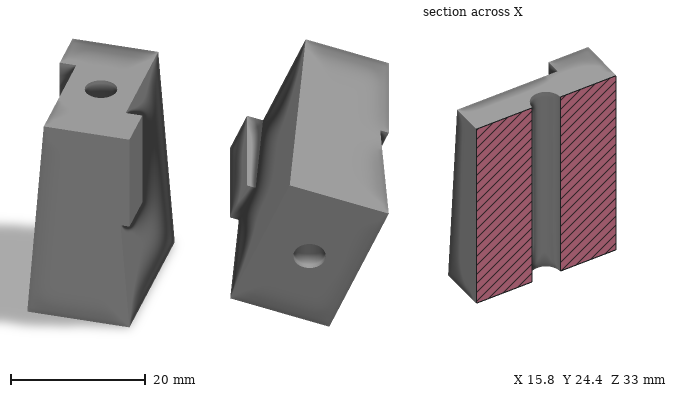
import cadquery as cq

width = 15.75
depth = 24.37
height = 33.02

side_inset = 2.55

lug_length = 6.9
lug_height = 15.3

hole_diameter = 4.82


def tapered_body():
    """Wedge with a trapezoidal section, running the full depth along Y."""
    half_bottom = width / 2
    half_top = half_bottom - side_inset
    return (
        cq.Workplane("XZ")
        .polyline([
            (-half_bottom, 0),
            (half_bottom, 0),
            (half_top, height),
            (-half_top, height),
        ])
        .close()
        .extrude(depth / 2, both=True)
    )


def corner_lug(side):
    """Upright lug: side -1 is the -X, +Y corner and side +1 the +X, -Y corner."""
    lug_width = width / 2
    return cq.Workplane("XY").box(lug_width, lug_length, lug_height).translate((
        side * (width - lug_width) / 2,
        -side * (depth - lug_length) / 2,
        height - lug_height / 2,
    ))


body = tapered_body()
for side in (-1, 1):
    body = body.union(corner_lug(side))

hole = cq.Workplane("XY").circle(hole_diameter / 2).extrude(height)
result = body.cut(hole)